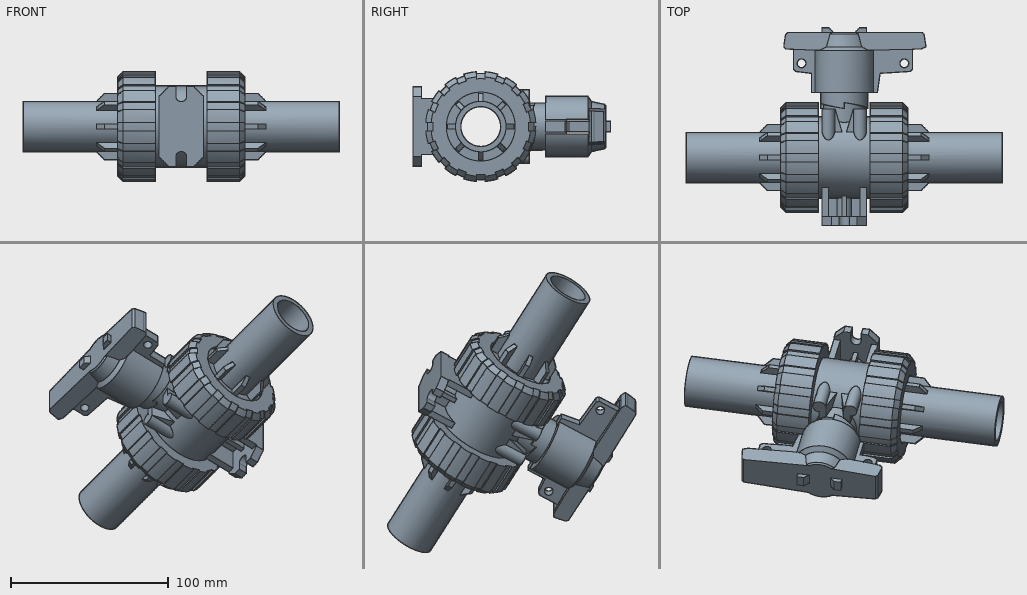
import cadquery as cq


length = 200.5
pipe_d = 32.0
bore_d = 25.0
body_d = 52.0
body_r = body_d / 2

nut_d = 70.0
nut_r = nut_d / 2
nut_inner_x = 16.5
nut_outer_x = 40.3
nut_chamfer = 3.5
groove_count = 16
groove_width = 5.5
groove_depth = 1.2
recess_d = 43.7
recess_depth = 1.5

rib_count = 8
rib_thickness = 3.0
rib_r = 21.0
rib_start_x = 53.7

foot_y = -43.1
foot_thickness = 5.6
foot_width = 28.5
foot_height = 50.5
foot_chamfer = 6.2
foot_slot_width = 6.8
foot_slot_end = 15.8
pedestal_height = 35.7
pedestal_wall = 4.2
pedestal_web = 3.0
center_rib_height = 18.5
center_boss_d = 9.5

stem_d = 30.0
stem_top_y = 54.3
core_r = 13.2
tooth_count = 4
tooth_high_y = 34.9
tooth_drop = 3.8

post_d = 8.5
post_x = 10.0
post_z = 19.2
post_top_y = 30.9
gusset_y = 16.2
gusset_tip_x = 1.5
gusset_height = 40.5

hub_r = 19.2
hub_bottom_y = 41.1
hub_shoulder_y = 68.0
cone_bottom_y = 70.2
cone_bottom_r = 16.0
cone_top_r = 14.2
hub_edge = 1.0
slit_top_y = 68.8
slit_width = 9.2

bar_top_y = 79.4
bar_bottom_y = 68.2
bar_left_x = -38.5
bar_right_x = 52.0
bar_end_half = 10.0
bar_middle_half = 12.2
bar_draft = 4.0
bar_recess_half = 6.5
bar_left_wall = 2.8
bar_right_wall = 5.2
bar_recess_top_y = 76.2

plate_thickness = 6.8
plate_left_x = -32.3
plate_right_x = 43.3
plate_hole_d = 5.5
plate_hole_y = 59.7
plate_hole_inset = 5.2
nub_top_y = 82.5
nub_x = 14.2


def disc_x(diameter, x_from, x_to):
    """Cylinder of the given diameter along X."""
    return cq.Workplane("YZ", origin=(x_from, 0, 0)).circle(diameter / 2).extrude(x_to - x_from)


def disc_y(radius, y_from, y_to, x=0, z=0):
    """Cylinder of the given radius along Y."""
    return cq.Workplane("XZ", origin=(x, y_from, z)).circle(radius).extrude(y_from - y_to)


def block(x_range, y_range, z_range):
    """Box between the given limits."""
    sizes = [high - low for low, high in (x_range, y_range, z_range)]
    corner = (x_range[0], y_range[0], z_range[0])
    return cq.Workplane("XY").box(*sizes, centered=False).translate(corner)


def plate_xy(points, thickness):
    """Polygon in the XY plane, thickened evenly about Z = 0."""
    return cq.Workplane("XY").polyline(points).close().extrude(thickness / 2, both=True)


def nut_profile(radius):
    """Turned nut blank with a 45 degree chamfer at its outer end."""
    points = [
        (nut_inner_x, 0),
        (nut_inner_x, radius),
        (nut_outer_x - nut_chamfer, radius),
        (nut_outer_x, radius - nut_chamfer),
        (nut_outer_x, 0),
    ]
    return cq.Workplane("XY").polyline(points).close().revolve(360, (0, 0, 0), (1, 0, 0))


def make_nut():
    """Union nut on the +X side: a smaller core plus a full-size blank with grip grooves."""
    grip = nut_profile(nut_r)
    groove = block((0, length), (-groove_width / 2, groove_width / 2), (body_r, nut_d))
    for index in range(groove_count):
        grip = grip.cut(groove.rotate((0, 0, 0), (1, 0, 0), index * 360 / groove_count))
    nut = grip.union(nut_profile(nut_r - groove_depth))
    return nut.cut(disc_x(recess_d, nut_outer_x - recess_depth, nut_outer_x))


def make_pipe_ribs():
    """Ring of ribs around the pipe on the +X side, sloping down at their outer ends."""
    pipe_r = pipe_d / 2
    embed = 1.0
    root_r = pipe_r - embed
    root_x = nut_outer_x - recess_depth
    slope = rib_r - pipe_r
    points = [
        (root_x, root_r),
        (root_x, rib_r),
        (rib_start_x - slope, rib_r),
        (rib_start_x, pipe_r),
        (rib_start_x, root_r),
    ]
    rib = plate_xy(points, rib_thickness)
    ribs = rib
    for index in range(1, rib_count):
        ribs = ribs.union(rib.rotate((0, 0, 0), (1, 0, 0), index * 360 / rib_count))
    return ribs


def make_foot():
    """Slotted mounting plate on a hollowed pedestal under the body."""
    half_width = foot_width / 2
    half_height = foot_height / 2
    plate_y = foot_y + foot_thickness
    plate = block((-half_width, half_width), (foot_y, plate_y), (-half_height, half_height))
    plate = plate.edges("|Y").chamfer(foot_chamfer)
    slot_r = foot_slot_width / 2
    slot_center_z = foot_slot_end + slot_r
    slot = block((-slot_r, slot_r), (foot_y, plate_y), (slot_center_z, half_height))
    slot = slot.union(disc_y(slot_r, foot_y, plate_y, z=slot_center_z))
    plate = plate.cut(slot).cut(slot.mirror("XY"))

    def upright(x_range, height):
        return block(x_range, (plate_y, 0), (-height / 2, height / 2))

    foot = plate.union(upright((-half_width, pedestal_wall - half_width), pedestal_height))
    foot = foot.union(upright((half_width - pedestal_wall, half_width), pedestal_height))
    foot = foot.union(upright((-half_width, half_width), pedestal_web))
    foot = foot.union(upright((-pedestal_web / 2, pedestal_web / 2), center_rib_height))
    return foot.union(disc_y(center_boss_d / 2, plate_y, 0))


def make_stem():
    """Stem with a skirt whose lower edge is a ring of helical saw teeth."""
    stem_r = stem_d / 2
    tooth_low_y = tooth_high_y - tooth_drop
    skirt = disc_y(stem_r, tooth_low_y, hub_bottom_y).cut(disc_y(core_r, tooth_low_y, hub_bottom_y))
    tooth_angle = 360 / tooth_count
    middle_r = (stem_r + core_r) / 2
    ramp = cq.Wire.makeHelix(tooth_drop * tooth_count, tooth_drop, middle_r, lefthand=True)
    cutter = (
        cq.Workplane("XZ")
        .center(middle_r, -tooth_drop)
        .rect(2 * (stem_r - core_r), 2 * tooth_drop)
        .sweep(cq.Workplane(obj=ramp), isFrenet=True)
        .rotate((0, 0, 0), (1, 0, 0), -90)
        .translate((0, tooth_low_y, 0))
    )
    for index in range(tooth_count):
        skirt = skirt.cut(cutter.rotate((0, 0, 0), (0, 1, 0), index * tooth_angle))
    return skirt.union(disc_y(core_r, 0, hub_bottom_y)).union(disc_y(stem_r, hub_bottom_y, stem_top_y))


def make_stop_posts():
    """Four round posts on the body, each pair joined by a gusset towards the stem."""
    gusset = plate_xy(
        [
            (post_x, gusset_y),
            (gusset_tip_x, gusset_y),
            (post_x - post_d / 2, post_top_y),
            (post_x, post_top_y),
        ],
        gusset_height,
    )
    posts = gusset.union(gusset.mirror("YZ"))
    for x in (-post_x, post_x):
        for z in (-post_z, post_z):
            posts = posts.union(disc_y(post_d / 2, post_d, post_top_y, x, z))
    return posts


def make_hub():
    """Round hub with a conical cap, slit along X for the locking plate."""
    points = [
        (0, hub_bottom_y),
        (hub_r, hub_bottom_y),
        (hub_r, hub_shoulder_y),
        (cone_bottom_r, cone_bottom_y),
        (cone_top_r, bar_top_y - hub_edge),
        (cone_top_r - hub_edge, bar_top_y),
        (0, bar_top_y),
    ]
    hub = cq.Workplane("XY").polyline(points).close().revolve(360, (0, 0, 0), (0, 1, 0))
    slit_half = slit_width / 2
    return hub.cut(block((-hub_r, hub_r), (hub_bottom_y, slit_top_y), (-slit_half, slit_half)))


def make_bar():
    """Drafted handle bar, widest at the hub and hollowed from its lower face."""
    end_rise = 2.0
    bevel_rise = 0.6
    lower_bevel = 1.6
    top_inset = 2.6
    top_bevel = 1.5
    side = plate_xy(
        [
            (-hub_r, bar_bottom_y),
            (bar_left_x + lower_bevel, bar_bottom_y + bevel_rise),
            (bar_left_x, bar_bottom_y + end_rise),
            (bar_left_x + top_inset - top_bevel, bar_top_y - top_bevel),
            (bar_left_x + top_inset, bar_top_y),
            (bar_right_x - top_inset, bar_top_y),
            (bar_right_x - top_inset + top_bevel, bar_top_y - top_bevel),
            (bar_right_x, bar_bottom_y + end_rise),
            (bar_right_x - 2 * lower_bevel, bar_bottom_y + bevel_rise),
            (hub_r, bar_bottom_y),
        ],
        2 * hub_r,
    )
    plan = [
        (bar_left_x, -bar_end_half),
        (0, -bar_middle_half),
        (bar_right_x, -bar_end_half),
        (bar_right_x, bar_end_half),
        (0, bar_middle_half),
        (bar_left_x, bar_end_half),
    ]
    height = bar_top_y - bar_bottom_y
    lowest = cq.Plane(origin=(0, bar_bottom_y, 0), xDir=(1, 0, 0), normal=(0, 1, 0))
    drafted = cq.Workplane(lowest).polyline(plan).close().extrude(height, taper=bar_draft)
    recess = block(
        (bar_left_x + bar_left_wall, bar_right_x - bar_right_wall),
        (bar_bottom_y, bar_recess_top_y),
        (-bar_recess_half, bar_recess_half),
    )
    return side.intersect(drafted).cut(recess)


def make_locking_plate():
    """Flat plate in the XY plane with two padlock holes and two nubs above the bar."""
    corner = 1.5
    ear_y = 54.5
    ear_drop = 1.2
    shank_left_x = -20.9
    shank_right_x = 21.0
    shank_top_x = 22.9
    plate = plate_xy(
        [
            (plate_left_x, bar_recess_top_y),
            (plate_left_x, ear_y + corner),
            (plate_left_x + corner, ear_y),
            (shank_left_x, ear_y - ear_drop),
            (shank_left_x, hub_bottom_y),
            (shank_right_x, hub_bottom_y),
            (shank_top_x, ear_y - ear_drop),
            (plate_right_x - corner, ear_y),
            (plate_right_x, ear_y + corner),
            (plate_right_x, bar_recess_top_y),
        ],
        plate_thickness,
    )
    for x in (plate_left_x + plate_hole_inset, plate_right_x - plate_hole_inset):
        hole = cq.Workplane("XY").center(x, plate_hole_y).circle(plate_hole_d / 2)
        plate = plate.cut(hole.extrude(plate_thickness, both=True))
    nub_flat = 4.5
    nub_slope = nub_top_y - bar_top_y
    nub = plate_xy(
        [
            (nub_x, bar_recess_top_y),
            (nub_x, nub_top_y),
            (nub_x - nub_flat, nub_top_y),
            (nub_x - nub_flat - nub_slope, bar_top_y),
            (nub_x - nub_flat - nub_slope, bar_recess_top_y),
        ],
        plate_thickness,
    )
    return plate.union(nub).union(nub.mirror("YZ"))


valve = disc_x(body_d, -nut_outer_x + recess_depth, nut_outer_x - recess_depth)
valve = valve.union(disc_x(pipe_d, -length / 2, length / 2))
union_end = make_nut().union(disc_x(pipe_d, nut_inner_x, length / 2)).union(make_pipe_ribs())
valve = valve.union(union_end).union(union_end.mirror("YZ"))
valve = valve.union(make_foot()).union(make_stem()).union(make_stop_posts())
valve = valve.cut(disc_x(bore_d, -length / 2, length / 2))

handle = make_hub().union(make_bar()).union(make_locking_plate())

result = valve.union(handle)